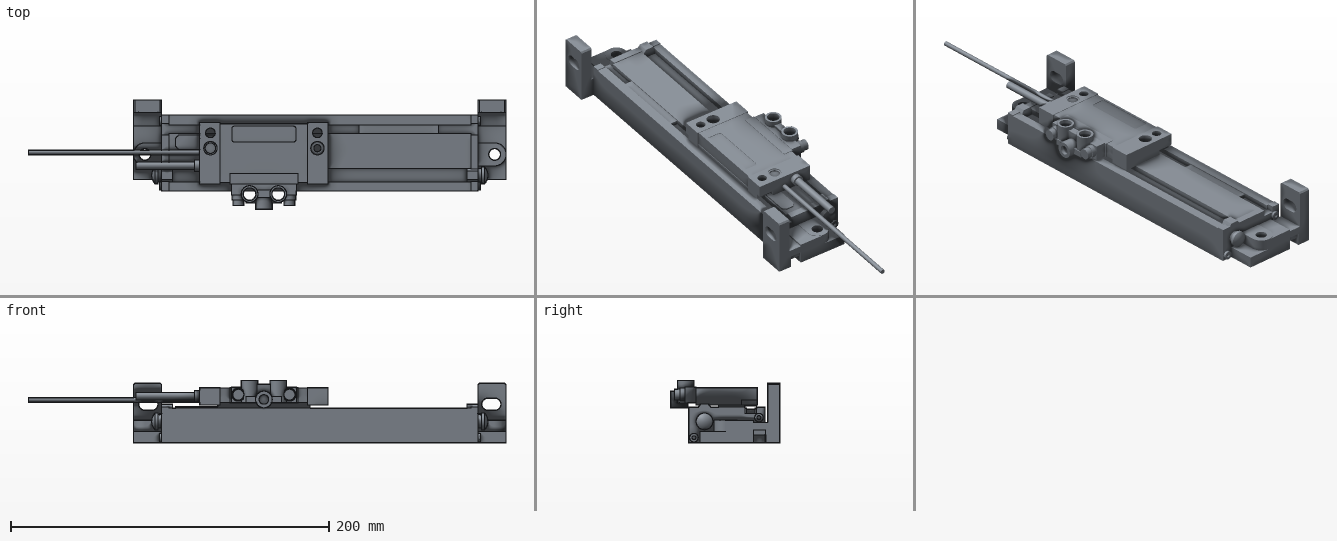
import cadquery as cq
import math


overall_length = 300.0
base_length = 234.0
bracket_length = 17.7
rail_half = base_length / 2 - bracket_length
rail_depth = 48.0
rail_height = 22.0
cap_length = 4.5
cap_rise = 0.5
channel_y = (5.7, 14.5)
channel_half = 92.5
channel_depth = 3.5
groove_y = (36.3, 41.7)
cap_groove_y = (35.5, 42.5)
groove_floor = 18.5
strip_x = (24.5, 74.5)
strip_top = 21.3
pad_y = (26.0, 35.5)
pad_start = -90.5
pad_height = 1.0
pad_corner = 2.0
stop_top = 24.3
stop_top_y = (7.2, 12.5)

bracket_front = 7.2
bracket_back = 57.3
foot_height = 7.2
block_height = 14.0
shelf_height = 13.0
shelf_front = 40.8
post_front = 49.5
post_height = 37.5
post_chamfer = 1.0
slot_length = 12.0
slot_width = 7.5
slot_from_end = 9.3
slot_z = 24.3
lobe_radius = 7.2
lobe_y = 23.0
lobe_top = 14.5
bolt_hole_dia = 7.2
key_back = 48.3
key_height = 5.0
key_recess_top = 8.0
key_recess_depth = 1.0
damper_y, damper_z = 10.0, 13.5
damper_neck_radius, damper_neck = 4.2, 2.5
damper_radius, damper_thickness = 5.25, 1.8
damper_dome = 2.0
cap_screws = ((44.0, 16.0), (3.3, 3.3))
cap_screw_radius = 2.7
cap_screw_head = 1.5
cap_screw_socket = 1.2

carriage_x = -35.0
carriage_length = 80.7
end_plate_length = 13.0
end_plate_y = (4.5, 43.2)
end_plate_z = (23.7, 34.8)
middle_inset = 1.0
middle_z = (25.5, 34.5)
shoe_length = 58.2
shoe_y = (18.5, 35.0)
sensor_rail_y = (35.5, 42.5)
sensor_rail_bottom = 23.0
sensor_notch_y = (33.0, 43.2)
sensor_notch_top = 27.0
sensor_notch_depth = 3.0
label_length, label_depth = 40.2, 0.3
label_y = (31.0, 40.8)
label_corner = 1.5
hole_spacing = 67.2
through_hole_y, through_hole_dia = 36.5, 6.0
port_y = 27.0
port_dia = 8.5
port_seat_depth = 0.5
blind_port_dia, blind_port_depth = 6.5, 1.5
port_deep = 6.0
port_bore_dia = 4.5

manifold_length = 42.5
manifold_back = 11.0
manifold_front = -2.5
nose_length = 40.8
manifold_z = (25.2, 35.0)
nipple_spacing = 18.0
nipple_y = -1.8
nipple_radius = 5.25
nipple_bore = 4.0
nipple_top = 39.3
spigot_z = 27.3
spigot_radius = 5.25
spigot_bore = 3.0
spigot_bore_depth = 5.5
spigot_back = -0.5
spigot_front = -11.5
web_length, web_y, web_top = 10.8, (-4.0, 0.5), 37.0
ledge_length, ledge_front, ledge_top = 22.2, -7.5, 29.0
plug_spacing = 32.0
plug_z = 30.3
plug_steps = ((4.05, -5.5), (3.45, -9.0))
cable_tip = base_length / 2 - overall_length
cable_y, cable_z, cable_radius = 24.3, 27.0, 1.5
tube_start = -115.5
tube_y, tube_z, tube_radius = 16.0, 29.5, 2.5
collar_length, collar_radius = 3.3, 3.5


def box(x, y, z):
    """Block between the given (low, high) limits."""
    size = (x[1] - x[0], y[1] - y[0], z[1] - z[0])
    return cq.Workplane("XY").box(*size, centered=False).translate((x[0], y[0], z[0]))


def rod_x(start, end, y, z, radius):
    """Cylinder along X."""
    return cq.Workplane("YZ", origin=(start, y, z)).circle(radius).extrude(end - start)


def rod_y(start, end, x, z, radius):
    """Cylinder along Y, from its front end to its back end."""
    return cq.Workplane("XZ", origin=(x, end, z)).circle(radius).extrude(end - start)


def rod_z(start, end, x, y, radius):
    """Cylinder along Z."""
    return cq.Workplane("XY", origin=(x, y, start)).circle(radius).extrude(end - start)


def centred(middle, length):
    """Limits of a length centred on a place."""
    return (middle - length / 2, middle + length / 2)


def make_rail():
    """Extruded rail with its open channel, sensor groove, magnet strip and label pad."""
    cap_start = rail_half - cap_length
    rail = box((-cap_start, cap_start), (0, rail_depth), (0, rail_height))
    channel_z = (rail_height - channel_depth, rail_height)
    rail = rail.cut(box((-channel_half, channel_half), channel_y, channel_z))
    rail = rail.cut(box((-cap_start, cap_start), groove_y, (groove_floor, rail_height)))
    rail = rail.union(box(strip_x, groove_y, (groove_floor, strip_top)))
    pad_x = (pad_start, carriage_x - shoe_length / 2)
    pad = box(pad_x, pad_y, (rail_height, rail_height + pad_height))
    return rail.union(pad.edges("|Z and <X").chamfer(pad_corner))


def make_left_damper():
    """Round damper button on a neck, with a domed outer face."""
    rim_inner = -rail_half - damper_neck
    rim_outer = rim_inner - damper_thickness
    dome_tip = rim_outer - damper_dome
    dome_ball = (damper_radius**2 + damper_dome**2) / (2 * damper_dome)
    shoulder = damper_radius / 2
    shoulder_x = dome_tip + dome_ball - math.sqrt(dome_ball**2 - shoulder**2)
    profile = (
        cq.Workplane("XY", origin=(0, damper_y, damper_z))
        .moveTo(-rail_half, 0)
        .lineTo(-rail_half, damper_neck_radius)
        .lineTo(rim_inner, damper_neck_radius)
        .lineTo(rim_inner, damper_radius)
        .lineTo(rim_outer, damper_radius)
        .threePointArc((shoulder_x, shoulder), (dome_tip, 0))
        .close()
    )
    return profile.revolve(360, (0, 0, 0), (1, 0, 0))


def make_left_cap():
    """End cap with its stop tab, damper and screw heads."""
    cap_x = (-rail_half, cap_length - rail_half)
    cap = box(cap_x, (0, rail_depth), (0, rail_height + cap_rise))
    cap = cap.cut(box(cap_x, cap_groove_y, (groove_floor, rail_height + cap_rise)))
    tab_base = rail_height - channel_depth
    tab = (
        cq.Workplane("YZ", origin=(-rail_half, 0, 0))
        .moveTo(channel_y[0], tab_base)
        .lineTo(channel_y[1], tab_base)
        .lineTo(channel_y[1], rail_height)
        .lineTo(stop_top_y[1], stop_top)
        .lineTo(stop_top_y[0], stop_top)
        .lineTo(channel_y[0], rail_height)
        .close()
        .extrude(rail_half - channel_half)
    )
    cap = cap.union(tab)
    cap = cap.union(make_left_damper())
    for y, z in cap_screws:
        head_start = -rail_half - cap_screw_head
        cap = cap.union(rod_x(head_start, -rail_half, y, z, cap_screw_radius))
        cap = cap.cut(rod_x(head_start, -rail_half, y, z, cap_screw_socket))
    return cap


def make_left_bracket():
    """L-shaped bracket: stepped foot with a bolt lobe, and a post with a slot."""
    outer = -base_length / 2
    bracket_x = (outer, outer + bracket_length)
    lobe_x = outer + lobe_radius
    bracket = box(bracket_x, (bracket_front, bracket_back), (0, foot_height))
    bracket = bracket.union(box(bracket_x, (lobe_y, shelf_front), (0, block_height)))
    bracket = bracket.union(box(bracket_x, (shelf_front, bracket_back), (0, shelf_height)))

    lobe_sides = (lobe_y - lobe_radius, lobe_y + lobe_radius)
    bracket = bracket.union(box((lobe_x, bracket_x[1]), lobe_sides, (0, lobe_top)))
    bracket = bracket.union(rod_z(0, lobe_top, lobe_x, lobe_y, lobe_radius))
    bracket = bracket.cut(rod_z(0, lobe_top, lobe_x, lobe_y, bolt_hole_dia / 2))

    post = box(bracket_x, (post_front, bracket_back), (0, post_height))
    post = post.edges("|Y and >Z").chamfer(post_chamfer)
    slot = (
        cq.Workplane("XZ", origin=(outer + slot_from_end, bracket_back, slot_z))
        .slot2D(slot_length, slot_width)
        .extrude(bracket_back - post_front)
    )
    bracket = bracket.union(post.cut(slot))

    key_y = (shelf_front, key_back)
    bracket = bracket.cut(box(bracket_x, key_y, (0, key_height)))
    recess_x = (outer, outer + key_recess_depth)
    return bracket.cut(box(recess_x, key_y, (key_height, key_recess_top)))


def make_base():
    left_end = make_left_cap().union(make_left_bracket())
    return make_rail().union(left_end).union(left_end.mirror("YZ"))


def make_carriage_block():
    """Middle block between two end plates, with its shoe, label recess and holes."""
    middle_y = (end_plate_y[0] + middle_inset, end_plate_y[1] - middle_inset)
    block = box(centred(carriage_x, carriage_length - end_plate_length), middle_y, middle_z)
    plate_offset = (carriage_length - end_plate_length) / 2
    for side in (-1, 1):
        plate_x = centred(carriage_x + side * plate_offset, end_plate_length)
        block = block.union(box(plate_x, end_plate_y, end_plate_z))
        notch_x = centred(carriage_x + side * carriage_length / 2, 2 * sensor_notch_depth)
        block = block.cut(box(notch_x, sensor_notch_y, (end_plate_z[0], sensor_notch_top)))

    shoe_x = centred(carriage_x, shoe_length)
    block = block.union(box(shoe_x, shoe_y, (rail_height, middle_z[0])))
    block = block.union(box(shoe_x, sensor_rail_y, (sensor_rail_bottom, middle_z[0])))

    label_z = (middle_z[1] - label_depth, middle_z[1])
    label = box(centred(carriage_x, label_length), label_y, label_z)
    block = block.cut(label.edges("|Z").fillet(label_corner))

    top = end_plate_z[1]
    left_x, right_x = centred(carriage_x, hole_spacing)
    for x in (left_x, right_x):
        block = block.cut(rod_z(rail_height, top, x, through_hole_y, through_hole_dia / 2))
    block = block.cut(rod_z(top - port_seat_depth, top, left_x, port_y, port_dia / 2))
    block = block.cut(rod_z(top - blind_port_depth, top, left_x, port_y, blind_port_dia / 2))
    block = block.cut(rod_z(top - port_deep, top, right_x, port_y, port_dia / 2))
    return block.cut(rod_z(end_plate_z[0], top, right_x, port_y, port_bore_dia / 2))


def add_manifold(carriage):
    """Air manifold on the front: two upright nipples, a spigot and two plugs."""
    manifold_x = centred(carriage_x, manifold_length)
    seat_z = (manifold_z[0], end_plate_z[1])
    carriage = carriage.union(box(manifold_x, (end_plate_y[0], manifold_back), seat_z))
    nose_x = centred(carriage_x, nose_length)
    carriage = carriage.union(box(nose_x, (manifold_front, end_plate_y[0]), manifold_z))
    carriage = carriage.union(box(centred(carriage_x, web_length), web_y, (manifold_z[0], web_top)))

    ledge_y = (ledge_front, manifold_front)
    ledge_z = (manifold_z[0], ledge_top)
    carriage = carriage.union(box(centred(carriage_x, ledge_length), ledge_y, ledge_z))

    nipples_x = centred(carriage_x, nipple_spacing)
    for x in nipples_x:
        carriage = carriage.union(rod_z(manifold_z[0], nipple_top, x, nipple_y, nipple_radius))
    carriage = carriage.union(rod_y(spigot_front, spigot_back, carriage_x, spigot_z, spigot_radius))
    for x in centred(carriage_x, plug_spacing):
        for radius, front in plug_steps:
            carriage = carriage.union(rod_y(front, manifold_front, x, plug_z, radius))

    for x in nipples_x:
        carriage = carriage.cut(rod_z(manifold_z[0], nipple_top, x, nipple_y, nipple_bore))
    bore_end = spigot_front + spigot_bore_depth
    return carriage.cut(rod_y(spigot_front, bore_end, carriage_x, spigot_z, spigot_bore))


def add_cable_and_tube(carriage):
    """Long thin cable, and a shorter tube with its collar, on the left end plate."""
    plate_face = carriage_x - carriage_length / 2
    collar_start = plate_face - collar_length
    carriage = carriage.union(rod_x(cable_tip, plate_face, cable_y, cable_z, cable_radius))
    carriage = carriage.union(rod_x(tube_start, plate_face, tube_y, tube_z, tube_radius))
    return carriage.union(rod_x(collar_start, plate_face, tube_y, tube_z, collar_radius))


base = make_base()
carriage = add_cable_and_tube(add_manifold(make_carriage_block()))
result = cq.Compound.makeCompound([base.val(), carriage.val()])